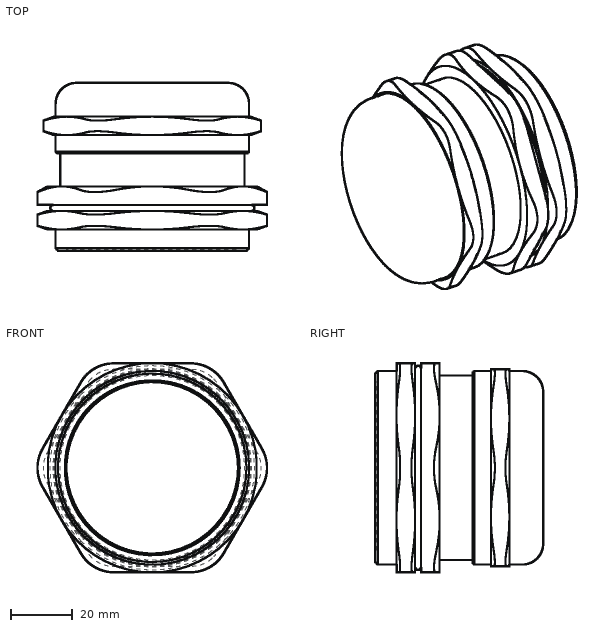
import cadquery as cq
import math

total_length = 54.65
collar_diameter = 63.0
body_diameter = 60.0

lock_nut_start = 6.95
lock_nut_end = 13.0
body_hex_start = 14.9
body_hex_end = 21.0
cap_start = 31.65
cap_hex_start = 37.6
cap_hex_end = 43.6

large_across_flats = 68.0
large_corner_radius = 12.55
cap_across_flats = 64.05
cap_corner_radius = 10.15
lock_nut_bevel = 1.2
body_hex_bevel = 1.9
cap_hex_bevel = 1.3

seal_diameter = 66.45
dome_radius = 6.9
entry_chamfer = 0.9
cap_chamfer = 0.6
recess_diameter = 56.9
recess_floor_diameter = 55.7
recess_depth = 0.5


def disc(diameter, start, end):
    """Cylinder on the Y axis between two stations."""
    return cq.Workplane("XZ", origin=(0, start, 0)).circle(diameter / 2).extrude(start - end)


def hexagon(across_flats, corner_radius, start, end, start_bevel, end_bevel):
    """Hexagon with rounded corners, bevelled by cones that touch its flats."""
    across_corners = across_flats / math.cos(math.pi / 6)
    prism = (
        cq.Workplane("XZ", origin=(0, start, 0))
        .polygon(6, across_corners)
        .extrude(start - end)
        .edges("|Y")
        .fillet(corner_radius)
    )
    flat_radius = across_flats / 2
    sharp_corner_radius = across_corners / 2
    corner_reach = sharp_corner_radius - corner_radius * (1 / math.cos(math.pi / 6) - 1)
    reach_ratio = (sharp_corner_radius - flat_radius) / (corner_reach - flat_radius)
    profile = [
        (0, start),
        (flat_radius if start_bevel else sharp_corner_radius, start),
    ]
    if start_bevel:
        profile.append((sharp_corner_radius, start + start_bevel * reach_ratio))
    if end_bevel:
        profile.append((sharp_corner_radius, end - end_bevel * reach_ratio))
    profile.append((flat_radius if end_bevel else sharp_corner_radius, end))
    profile.append((0, end))
    envelope = cq.Workplane("XY").polyline(profile).close().revolve(360, (0, 0, 0), (0, 1, 0))
    return prism.intersect(envelope)


entry = disc(collar_diameter, 0, lock_nut_start).faces("<Y").edges().chamfer(entry_chamfer)
body = disc(body_diameter, lock_nut_start, cap_start)

cap = disc(collar_diameter, cap_start, total_length)
cap = cap.faces(">Y").edges().fillet(dome_radius)
cap = cap.faces("<Y").edges().chamfer(cap_chamfer)

rim_radius = (body_hex_start - lock_nut_end) / 2
rim_centre = seal_diameter / 2 - rim_radius
seal = (
    cq.Workplane("XY")
    .moveTo(0, lock_nut_end)
    .lineTo(rim_centre, lock_nut_end)
    .threePointArc((seal_diameter / 2, lock_nut_end + rim_radius), (rim_centre, body_hex_start))
    .lineTo(0, body_hex_start)
    .close()
    .revolve(360, (0, 0, 0), (0, 1, 0))
)

lock_nut = hexagon(
    large_across_flats, large_corner_radius, lock_nut_start, lock_nut_end, lock_nut_bevel, lock_nut_bevel
)
body_hex = hexagon(
    large_across_flats, large_corner_radius, body_hex_start, body_hex_end, 0, body_hex_bevel
)
cap_hex = hexagon(
    cap_across_flats, cap_corner_radius, cap_hex_start, cap_hex_end, cap_hex_bevel, cap_hex_bevel
)

recess = (
    cq.Workplane("XY")
    .polyline([(0, 0), (recess_diameter / 2, 0), (recess_floor_diameter / 2, recess_depth), (0, recess_depth)])
    .close()
    .revolve(360, (0, 0, 0), (0, 1, 0))
)

result = entry.union(body).union(cap).union(seal)
result = result.union(lock_nut).union(body_hex).union(cap_hex).cut(recess)